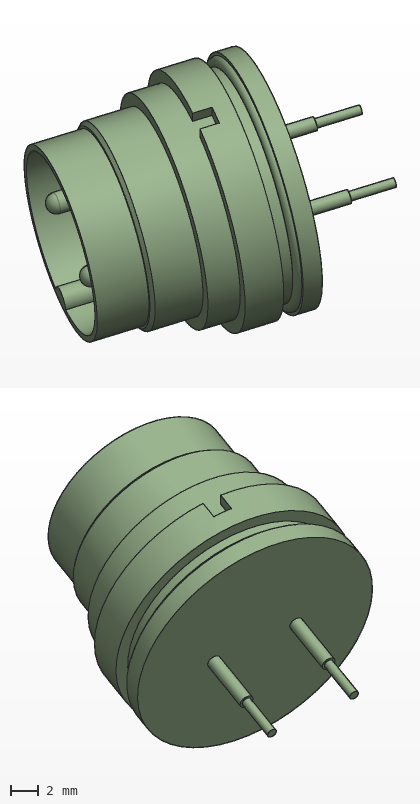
import cadquery as cq


sleeve_radius = 7.5
collar_radius = 8.0
body_radius = 9.0
flange_radius = 10.0

sleeve_length = 4.0
collar_length = 4.0
body_front_length = 2.5
front_flange_length = 3.0
neck_length = 1.5
rear_flange_length = 1.5
collar_chamfer = 0.3

collar_start = sleeve_length
body_start = collar_start + collar_length
front_flange_start = body_start + body_front_length
neck_start = front_flange_start + front_flange_length
rear_flange_start = neck_start + neck_length
rear_face = rear_flange_start + rear_flange_length

seal_section_radius = 0.5
seal_outer_radius = 9.75

cavity_radius = 7.0
cavity_depth = 8.0
key_radius = 1.0

notch_width = 1.5
notch_depth = 1.5

contact_offset = 3.5
pin_radius = 0.8
pin_tip_setback = 0.2
tail_radius = 0.55
tail_end_radius = 0.37
tail_end_length = 3.55
total_length = 24.6
tail_step = total_length - tail_end_length


def cylinder(radius, start, end, x=0, z=0):
    """Cylinder parallel to Y, running from Y = start to Y = end."""
    return cq.Workplane(cq.Solid.makeCylinder(radius, end - start, cq.Vector(x, start, z), cq.Vector(0, 1, 0)))


def make_shell():
    collar = cylinder(collar_radius, collar_start, body_start).faces("<Y").chamfer(collar_chamfer)
    return (
        cylinder(sleeve_radius, 0, collar_start)
        .union(collar)
        .union(cylinder(body_radius, body_start, rear_flange_start))
        .union(cylinder(flange_radius, front_flange_start, neck_start))
        .union(cylinder(flange_radius, rear_flange_start, rear_face))
    )


def make_seal():
    ring_radius = seal_outer_radius - seal_section_radius
    return cq.Workplane(
        cq.Solid.makeTorus(
            ring_radius, seal_section_radius, cq.Vector(0, rear_flange_start, 0), cq.Vector(0, 1, 0)
        )
    )


def make_notches():
    """Slots on the top and bottom of the front flange, down to the body surface."""
    notch_end = front_flange_start + notch_depth
    bar = cq.Workplane("XY").box(notch_width, notch_depth, 2 * flange_radius)
    bar = bar.translate((0, front_flange_start + notch_depth / 2, 0))
    return bar.cut(cylinder(body_radius, front_flange_start, notch_end))


def make_key():
    """Rounded rib along the bottom of the cavity, trimmed to stay inside the sleeve."""
    rib = cylinder(key_radius, 0, cavity_depth, z=-cavity_radius)
    return rib.intersect(cylinder(sleeve_radius, 0, cavity_depth))


def make_contact(x):
    """Pin with a hemispherical tip in front and a stepped solder tail behind."""
    tip_centre = pin_tip_setback + pin_radius
    tip = cq.Workplane("XY").sphere(pin_radius).translate((x, tip_centre, 0))
    return (
        cylinder(pin_radius, tip_centre, rear_flange_start, x)
        .union(tip)
        .union(cylinder(tail_radius, rear_flange_start, tail_step, x))
        .union(cylinder(tail_end_radius, tail_step, total_length, x))
    )


result = make_shell().union(make_seal()).cut(make_notches())
result = result.cut(cylinder(cavity_radius, 0, cavity_depth)).union(make_key())
for side in (-1, 1):
    result = result.union(make_contact(side * contact_offset))